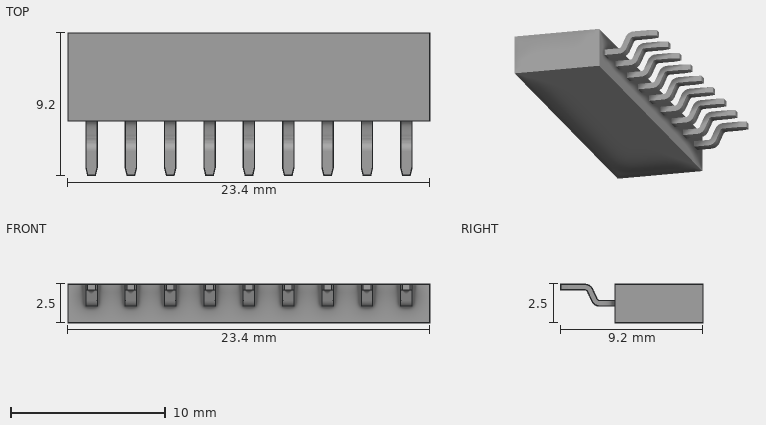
import cadquery as cq
import math

HOUSING_LENGTH = 23.36
HOUSING_DEPTH = 5.7
HOUSING_HEIGHT = 2.5

PIN_COUNT = 9
PIN_PITCH = 2.54
PIN_WIDTH = 0.74
PIN_THICKNESS = 0.37
PIN_REACH = 3.5

BEND_START = 0.97
BEND_RISE = 1.05
BEND_ANGLE = math.radians(65)
INNER_RADIUS = 0.2
OUTER_RADIUS = INNER_RADIUS + PIN_THICKNESS

TIP_LENGTH = 0.5
TIP_WIDTH = 0.5

OUTER_LEG_TOP = HOUSING_HEIGHT
OUTER_LEG_BOTTOM = OUTER_LEG_TOP - PIN_THICKNESS
INNER_LEG_TOP = OUTER_LEG_TOP - BEND_RISE
INNER_LEG_BOTTOM = INNER_LEG_TOP - PIN_THICKNESS

SIN_BEND = math.sin(BEND_ANGLE)
COS_BEND = math.cos(BEND_ANGLE)
RADIUS_SUM = INNER_RADIUS + OUTER_RADIUS
SLOPE_LENGTH = (BEND_RISE - RADIUS_SUM * (1 - COS_BEND)) / SIN_BEND
BEND_RUN = RADIUS_SUM * SIN_BEND + SLOPE_LENGTH * COS_BEND

INNER_BEND_Y = -BEND_START
OUTER_BEND_Y = INNER_BEND_Y - BEND_RUN


def inner_bend_end(leg_height, radius):
    """(Y, Z) where the bend next to the housing runs into the slope."""
    return (INNER_BEND_Y - radius * SIN_BEND, leg_height + radius * (1 - COS_BEND))


def outer_bend_end(leg_height, radius):
    """(Y, Z) where the bend next to the tip runs into the slope."""
    return (OUTER_BEND_Y + radius * SIN_BEND, leg_height - radius * (1 - COS_BEND))


def make_housing():
    return cq.Workplane("XY").box(
        HOUSING_LENGTH, HOUSING_DEPTH, HOUSING_HEIGHT, centered=(True, False, False)
    )


def make_bent_strip():
    """Side profile of one pin, extruded to the full pin width about X = 0."""
    return (
        cq.Workplane("YZ")
        .moveTo(0, INNER_LEG_TOP)
        .lineTo(INNER_BEND_Y, INNER_LEG_TOP)
        .radiusArc(inner_bend_end(INNER_LEG_TOP, INNER_RADIUS), INNER_RADIUS)
        .lineTo(*outer_bend_end(OUTER_LEG_TOP, OUTER_RADIUS))
        .radiusArc((OUTER_BEND_Y, OUTER_LEG_TOP), -OUTER_RADIUS)
        .lineTo(-PIN_REACH, OUTER_LEG_TOP)
        .lineTo(-PIN_REACH, OUTER_LEG_BOTTOM)
        .lineTo(OUTER_BEND_Y, OUTER_LEG_BOTTOM)
        .radiusArc(outer_bend_end(OUTER_LEG_BOTTOM, INNER_RADIUS), INNER_RADIUS)
        .lineTo(*inner_bend_end(INNER_LEG_BOTTOM, OUTER_RADIUS))
        .radiusArc((INNER_BEND_Y, INNER_LEG_BOTTOM), -OUTER_RADIUS)
        .lineTo(0, INNER_LEG_BOTTOM)
        .close()
        .extrude(PIN_WIDTH / 2, both=True)
    )


def make_plan_envelope():
    """Plan outline of one pin with its tapered tip, as tall as the housing."""
    half_width = PIN_WIDTH / 2
    half_tip = TIP_WIDTH / 2
    taper_start = TIP_LENGTH - PIN_REACH
    return (
        cq.Workplane("XY")
        .polyline([
            (-half_width, 0),
            (-half_width, taper_start),
            (-half_tip, -PIN_REACH),
            (half_tip, -PIN_REACH),
            (half_width, taper_start),
            (half_width, 0),
        ])
        .close()
        .extrude(HOUSING_HEIGHT)
    )


def make_pin():
    return make_bent_strip().intersect(make_plan_envelope())


result = make_housing()
pin = make_pin()
first_pin_x = -PIN_PITCH * (PIN_COUNT - 1) / 2
for index in range(PIN_COUNT):
    result = result.union(pin.translate((first_pin_x + index * PIN_PITCH, 0, 0)))